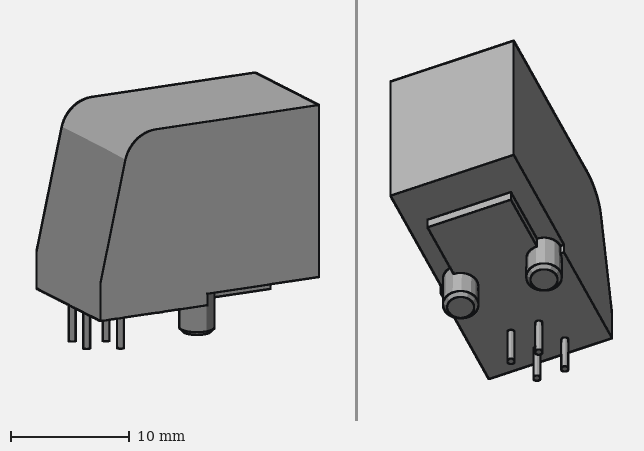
import cadquery as cq

width = 11.32
depth = 20.95
total_height = 19.91
front_wall_height = 2.28
slope_setback = 2.91
brow_radius = 3.0

base_thickness = 1.0
rear_gap = 3.65

peg_diameter = 3.0
peg_spacing = 7.65
peg_y = 10.25
peg_length = 3.75
peg_chamfer = 0.35

pin_count = 4
pin_diameter = 0.6
pin_pitch = 1.28
pin_length = 3.81
front_row_y = 1.4
row_spacing = 2 * pin_pitch

housing_height = total_height - base_thickness - pin_length


def make_block():
    """Housing block with a sloped front and a rounded upper front edge."""
    profile = [
        (0, 0),
        (depth, 0),
        (depth, housing_height),
        (slope_setback, housing_height),
        (0, front_wall_height),
    ]
    block = cq.Workplane("YZ").polyline(profile).close().extrude(width / 2, both=True)
    brow = cq.selectors.NearestToPointSelector((0, slope_setback, housing_height))
    return block.edges(brow).fillet(brow_radius)


def make_base_step(step_width, y_start, y_end):
    """Flat step hanging from the underside of the housing."""
    return (
        cq.Workplane("XY")
        .center(0, (y_start + y_end) / 2)
        .rect(step_width, y_end - y_start)
        .extrude(-base_thickness)
    )


def make_peg(x):
    """Locating peg with a chamfered tip."""
    peg = cq.Workplane("XY").center(x, peg_y).circle(peg_diameter / 2).extrude(-peg_length)
    return peg.faces("<Z").chamfer(peg_chamfer)


def make_housing():
    """Block, wide front step, narrow rear step and two pegs as one solid."""
    front_step = make_base_step(width, 0, peg_y)
    rear_step = make_base_step(peg_spacing, peg_y, depth - rear_gap)
    housing = make_block().union(front_step, clean=False).union(rear_step, clean=False)
    for side in (-1, 1):
        housing = housing.union(make_peg(side * peg_spacing / 2), clean=False)
    return housing


def make_pin(index):
    """Round pin under the base; odd-numbered pins stand in the rear row."""
    x = (index - (pin_count - 1) / 2) * pin_pitch
    y = front_row_y + (index % 2) * row_spacing
    return (
        cq.Workplane("XY", origin=(x, y, -base_thickness))
        .circle(pin_diameter / 2)
        .extrude(-pin_length)
    )


housing = make_housing()
pins = [make_pin(index) for index in range(pin_count)]

result = cq.Compound.makeCompound([housing.solids().val(), *[pin.val() for pin in pins]])